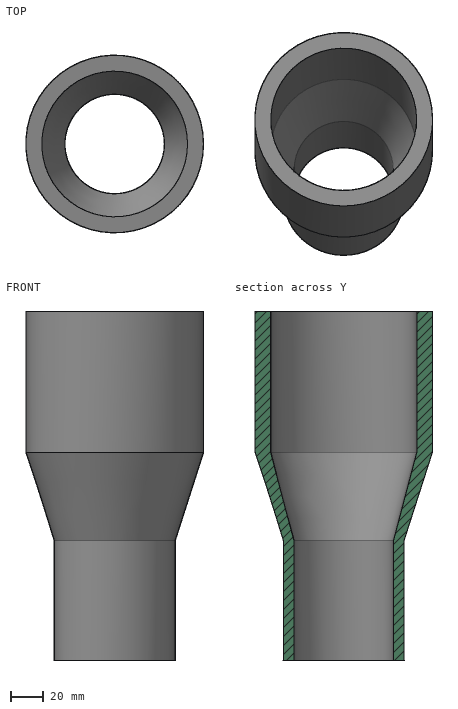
import cadquery as cq

total_height = 216.0
wide_outer_diameter = 110.0
wide_wall = 10.0
narrow_outer_diameter = 75.0
narrow_bore_diameter = 61.3
narrow_length = 74.3
taper_length = 54.5

taper_top = narrow_length + taper_length
wide_bore_diameter = wide_outer_diameter - 2 * wide_wall


def stepped_taper(narrow_diameter, wide_diameter):
    """Solid of revolution: narrow cylinder, cone, then wide cylinder."""
    narrow_radius = narrow_diameter / 2
    wide_radius = wide_diameter / 2
    return (
        cq.Workplane("XZ")
        .moveTo(0, 0)
        .lineTo(narrow_radius, 0)
        .lineTo(narrow_radius, narrow_length)
        .lineTo(wide_radius, taper_top)
        .lineTo(wide_radius, total_height)
        .lineTo(0, total_height)
        .close()
        .revolve(360, (0, 0, 0), (0, 1, 0))
    )


outer_body = stepped_taper(narrow_outer_diameter, wide_outer_diameter)
bore = stepped_taper(narrow_bore_diameter, wide_bore_diameter)

result = outer_body.cut(bore)